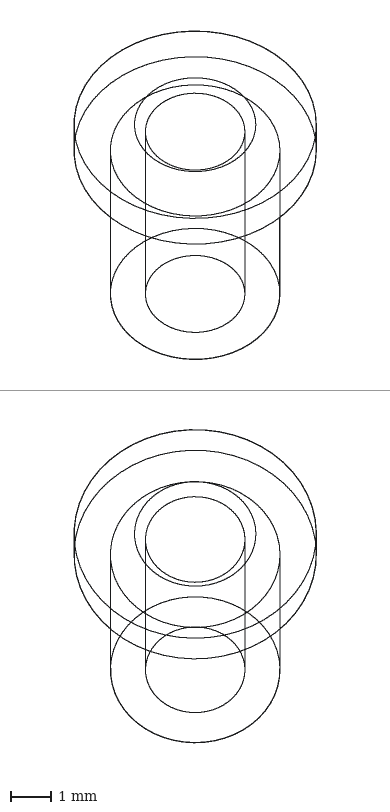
import cadquery as cq

total_height = 6.6
flange_diameter = 6.0
flange_thickness = 1.0
sleeve_diameter = 4.2
bore_diameter = 2.46
countersink_diameter = 3.0

countersink_depth = (countersink_diameter - bore_diameter) / 2
sleeve_length = total_height - flange_thickness

sleeve = cq.Workplane("XY").circle(sleeve_diameter / 2).extrude(sleeve_length)
flange = (
    cq.Workplane("XY", origin=(0, 0, sleeve_length))
    .circle(flange_diameter / 2)
    .extrude(flange_thickness)
)
bore = cq.Workplane("XY").circle(bore_diameter / 2).extrude(total_height)

bushing = sleeve.union(flange).cut(bore)
bore_top_edge = cq.selectors.RadiusNthSelector(0)
result = bushing.faces(">Z").edges(bore_top_edge).chamfer(countersink_depth)